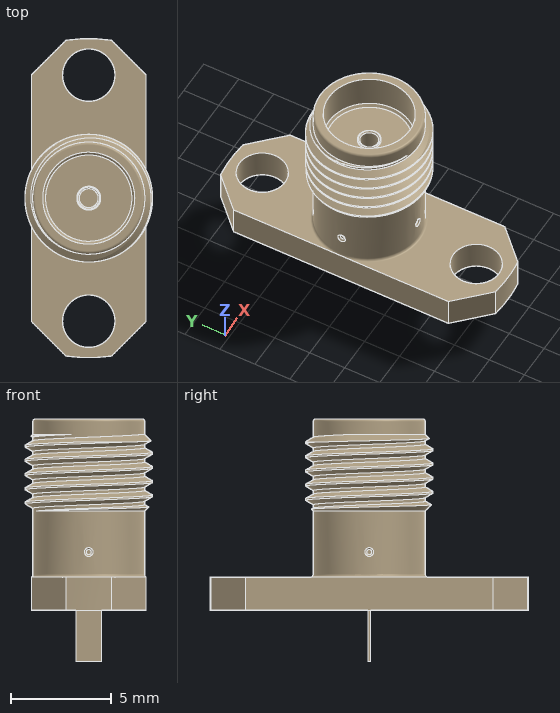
import cadquery as cq
import math

flange_width = 5.69
flange_thickness = 1.65
flange_end_radius = 7.93
flange_end_flat = 2.26
flange_corner_angle = 45.0
mount_hole_diameter = 2.59
mount_hole_spacing = 12.22

barrel_diameter = 5.58
total_height = 12.06
tab_length = 2.54
barrel_top = total_height - tab_length
rim_fillet_radius = 0.15
base_fillet_radius = 0.15

thread_diameter = 6.35
thread_pitch = 25.4 / 36
thread_flank_angle = 30.0
crest_width = thread_pitch / 8
thread_top_gap = 0.78
thread_length = 3.80
crest_drop_at_x = 1.007

socket_diameter = 4.57
socket_depth = 1.95
socket_floor_chamfer = 0.14
contact_diameter = 1.19
contact_protrusion = 0.06
contact_edge_radius = 0.05
contact_bore_diameter = 0.94
contact_bore_depth = 2.5

tab_width = 1.29
tab_thickness = 0.13

dimple_count = 4
dimple_mouth_diameter = 0.44
dimple_floor_diameter = 0.25
dimple_depth = 0.10
dimple_height = 2.90

barrel_radius = barrel_diameter / 2
thread_radius = thread_diameter / 2
socket_radius = socket_diameter / 2


def make_flange():
    """Elongated plate with clipped corners and slightly bowed ends."""
    half_width = flange_width / 2
    half_flat = flange_end_flat / 2
    end_corner_y = math.sqrt(flange_end_radius**2 - half_flat**2)
    corner_drop = (half_width - half_flat) * math.tan(math.radians(flange_corner_angle))
    side_y = end_corner_y - corner_drop
    return (
        cq.Workplane("XY")
        .moveTo(half_width, -side_y)
        .lineTo(half_width, side_y)
        .lineTo(half_flat, end_corner_y)
        .threePointArc((0, flange_end_radius), (-half_flat, end_corner_y))
        .lineTo(-half_width, side_y)
        .lineTo(-half_width, -side_y)
        .lineTo(-half_flat, -end_corner_y)
        .threePointArc((0, -flange_end_radius), (half_flat, -end_corner_y))
        .close()
        .extrude(flange_thickness)
        .faces(">Z")
        .workplane(origin=(0, 0, flange_thickness))
        .rarray(1, mount_hole_spacing, 1, 2)
        .hole(mount_hole_diameter)
    )


def make_body():
    """Flange with the round barrel on top, rounded at the rim and where the two meet."""
    barrel = (
        cq.Workplane("XY")
        .circle(barrel_radius)
        .extrude(barrel_top)
        .faces(">Z")
        .edges()
        .fillet(rim_fillet_radius)
    )
    base_edge = cq.selectors.BoxSelector(
        (-barrel_radius, -barrel_radius, flange_thickness - base_fillet_radius),
        (barrel_radius, barrel_radius, flange_thickness + base_fillet_radius),
    )
    return make_flange().union(barrel).edges("%CIRCLE").edges(base_edge).fillet(base_fillet_radius)


def make_thread():
    """Right-hand helical ridge whose ends run out on 45 degree cones."""
    root_overlap = 0.05
    crest_clearance = 0.2
    root_radius = barrel_radius - root_overlap
    flank_slope = math.tan(math.radians(thread_flank_angle))
    half_crest = crest_width / 2
    half_root = half_crest + (thread_radius - root_radius) * flank_slope
    turns = math.ceil(thread_length / thread_pitch) + 2
    start_z = barrel_top - crest_drop_at_x - (turns - 1) * thread_pitch
    helix = cq.Wire.makeHelix(thread_pitch, turns * thread_pitch, root_radius, cq.Vector(0, 0, start_z))
    ridge = (
        cq.Workplane("XZ")
        .moveTo(root_radius, start_z - half_root)
        .lineTo(thread_radius, start_z - half_crest)
        .lineTo(thread_radius, start_z + half_crest)
        .lineTo(root_radius, start_z + half_root)
        .close()
        .sweep(cq.Workplane(helix), isFrenet=True)
    )
    thread_top = barrel_top - thread_top_gap
    thread_bottom = thread_top - thread_length
    envelope_radius = thread_radius + crest_clearance
    runout = envelope_radius - barrel_radius
    envelope = (
        cq.Workplane("XZ")
        .moveTo(0, thread_bottom)
        .lineTo(barrel_radius, thread_bottom)
        .lineTo(envelope_radius, thread_bottom + runout)
        .lineTo(envelope_radius, thread_top - runout)
        .lineTo(barrel_radius, thread_top)
        .lineTo(0, thread_top)
        .close()
        .revolve(360, (0, 0), (0, 1))
    )
    return ridge.intersect(envelope)


def make_socket():
    """Cavity in the barrel top: main socket, floor chamfer and the contact's rounded tip and bore."""
    floor_z = barrel_top - socket_depth
    contact_top = floor_z + contact_protrusion
    contact_radius = contact_diameter / 2
    bore_radius = contact_bore_diameter / 2
    lead_in = contact_radius - contact_edge_radius - bore_radius
    arc_inset = contact_edge_radius * (1 - math.sqrt(0.5))
    return (
        cq.Workplane("XZ")
        .moveTo(0, barrel_top)
        .lineTo(socket_radius, barrel_top)
        .lineTo(socket_radius, floor_z + socket_floor_chamfer)
        .lineTo(socket_radius - socket_floor_chamfer, floor_z)
        .lineTo(contact_radius, floor_z)
        .lineTo(contact_radius, contact_top - contact_edge_radius)
        .threePointArc(
            (contact_radius - arc_inset, contact_top - arc_inset),
            (contact_radius - contact_edge_radius, contact_top),
        )
        .lineTo(bore_radius, contact_top - lead_in)
        .lineTo(bore_radius, floor_z - contact_bore_depth)
        .lineTo(0, floor_z - contact_bore_depth)
        .close()
        .revolve(360, (0, 0), (0, 1))
    )


def make_dimple(angle):
    """Conical recess running in from the barrel side at the given angle about Z."""
    floor_radius = barrel_radius - dimple_depth
    cone = cq.Solid.makeCone(
        dimple_floor_diameter / 2,
        dimple_mouth_diameter / 2,
        dimple_depth,
        cq.Vector(floor_radius, 0, dimple_height),
        cq.Vector(1, 0, 0),
    )
    return cq.Workplane(cone).rotate((0, 0, 0), (0, 0, 1), angle)


def make_tab():
    """Thin flat tab hanging below the flange."""
    return cq.Workplane("XY").rect(tab_width, tab_thickness).extrude(-tab_length)


result = make_body().union(make_thread()).cut(make_socket())
for index in range(dimple_count):
    result = result.cut(make_dimple(index * 360 / dimple_count))
result = result.union(make_tab())